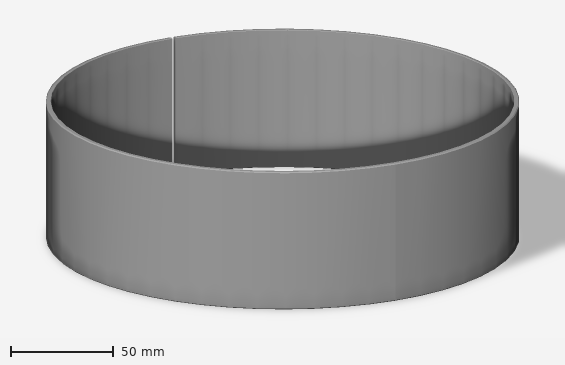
import cadquery as cq

outer_diameter = 230.0
wall_thickness = 2.5
band_height = 70.0
outer_rim_chamfer = 0.5
inner_rim_chamfer = 0.2
slit_width = 2.0
slit_start_y = 0.0

outer_radius = outer_diameter / 2
inner_radius = outer_radius - wall_thickness
mid_wall_radius = (outer_radius + inner_radius) / 2


def chamfer_rims(body, rank_by_radius, size):
    """Chamfer the top and bottom circular edges that have the given rank, smallest radius first."""
    rims = body.faces("<Z or >Z").edges(cq.selectors.RadiusNthSelector(rank_by_radius))
    return rims.chamfer(size)


def make_band():
    """Thin-walled ring standing on the XY plane, centred on Z, with chamfered rims."""
    ring = cq.Workplane("XY").circle(outer_radius).circle(inner_radius).extrude(band_height)
    ring = chamfer_rims(ring, -1, outer_rim_chamfer)
    return chamfer_rims(ring, 0, inner_rim_chamfer)


def make_slit():
    """Full-height cutter that opens the band on its -X side."""
    radial_length = 2 * wall_thickness
    cutter = cq.Workplane("XY").box(
        radial_length, slit_width, band_height, centered=(True, False, False)
    )
    return cutter.translate((-mid_wall_radius, slit_start_y, 0))


result = make_band().cut(make_slit())